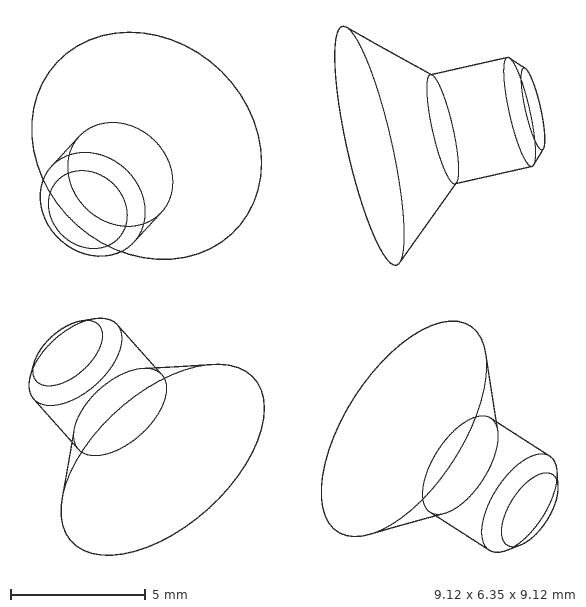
import cadquery as cq

head_diameter = 9.12
shank_diameter = 4.17
total_length = 6.35
head_height = 2.85
tip_chamfer = 0.52

head_radius = head_diameter / 2
shank_radius = shank_diameter / 2

half_section = (
    cq.Workplane("XY")
    .moveTo(0, 0)
    .lineTo(head_radius, 0)
    .lineTo(shank_radius, -head_height)
    .lineTo(shank_radius, -total_length + tip_chamfer)
    .lineTo(shank_radius - tip_chamfer, -total_length)
    .lineTo(0, -total_length)
    .close()
)

result = half_section.revolve(360, (0, 0, 0), (0, 1, 0))